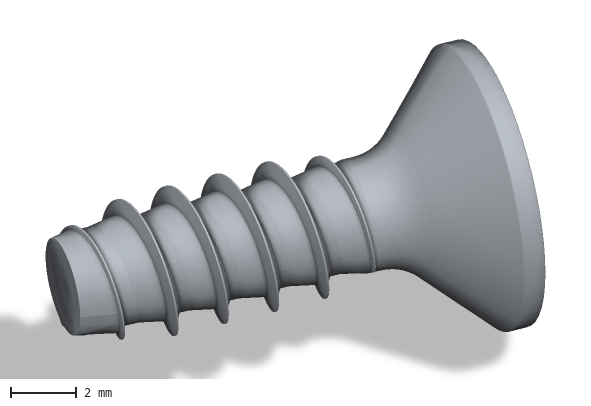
import cadquery as cq
import math


LENGTH = 14.0

HEAD_DIAMETER = 9.0
HEAD_RADIUS = HEAD_DIAMETER / 2
HEAD_TOP_FILLET = 0.07
HEAD_CONE_ANGLE = math.radians(45)
RIM_HEIGHT = 0.7
RIM_FILLET = 0.07

SHANK_RADIUS = 1.78
SHANK_END = 4.54
NECK_FILLET = 1.78

CORE_RADIUS = 1.6
CORE_START = 5.26
TIP_RADIUS = 1.53
TIP_SLOPE = 0.2
DIMPLE_RADIUS = 1.47
DIMPLE_DEPTH = 0.1

FIRST_CREST = 4.23
LAST_CREST = LENGTH
START_ANGLE = -90.0
TURNS = 6
PITCH = (LAST_CREST - FIRST_CREST) / TURNS

LEAD_IN_TURNS = 1.2
LEAD_IN_DROP = 0.4
RUN_OUT_TURNS = 1.5
RUN_OUT_DROP = 0.66
FULL_TURNS = TURNS - LEAD_IN_TURNS - RUN_OUT_TURNS

CREST_RADIUS = 2.25
CREST_HALF_WIDTH = 0.03
HEAD_SIDE_KNEE = (-0.11, 1.92)
HEAD_SIDE_FOOT = (-0.31, CORE_RADIUS)
TIP_SIDE_FOOT = (0.2, 1.72)
BLADE_BASE_RADIUS = 0.7

LAND_TOP_RADIUS = 1.78
LAND_BASE_RADIUS = 1.12
LAND_SLOPE = 0.18
LAND_LENGTH = 1.19


def make_shaft():
    """Head, shank and core, turned about the axis."""
    corner = RIM_HEIGHT + (HEAD_RADIUS - SHANK_RADIUS) / math.tan(HEAD_CONE_ANGLE)
    neck_reach = NECK_FILLET * math.tan(HEAD_CONE_ANGLE / 2)
    neck_end = corner + neck_reach
    neck_start = corner - neck_reach * math.cos(HEAD_CONE_ANGLE)
    neck_start_radius = SHANK_RADIUS + neck_reach * math.sin(HEAD_CONE_ANGLE)
    neck_middle = (
        SHANK_RADIUS + NECK_FILLET * (1 - math.cos(HEAD_CONE_ANGLE / 2)),
        neck_end - NECK_FILLET * math.sin(HEAD_CONE_ANGLE / 2),
    )
    outline = (
        cq.Workplane("XZ")
        .lineTo(HEAD_RADIUS, 0)
        .lineTo(HEAD_RADIUS, RIM_HEIGHT)
        .lineTo(neck_start_radius, neck_start)
        .threePointArc(neck_middle, (SHANK_RADIUS, neck_end))
        .lineTo(SHANK_RADIUS, SHANK_END)
        .lineTo(CORE_RADIUS, CORE_START)
        .lineTo(CORE_RADIUS, LENGTH)
        .lineTo(0, LENGTH)
        .close()
    )
    shaft = outline.revolve(360, (0, 0), (0, 1))
    rim_foot = cq.selectors.NearestToPointSelector((0, 0, RIM_HEIGHT))
    shaft = shaft.edges(rim_foot).fillet(RIM_FILLET)
    return shaft.faces("<Z").edges().fillet(HEAD_TOP_FILLET)


def turned(outline):
    """Solid of revolution about Z from (radius, height) corners."""
    return cq.Workplane("XZ").polyline(outline).close().revolve(360, (0, 0), (0, 1))


def threaded_zone():
    """Cylinder from the end of the shank to the tip, wide enough to hold the whole thread."""
    zone = cq.Workplane("XY", origin=(0, 0, SHANK_END))
    return zone.circle(2 * CREST_RADIUS).extrude(LENGTH - SHANK_END)


def helix_edge(start_radius, end_radius, start_height, start_turn, turns):
    """Helix of constant pitch whose radius changes evenly from start to end."""
    rise = PITCH * turns
    taper = math.atan2(end_radius - start_radius, rise)
    stretch = 1 / math.cos(taper)
    apex = math.degrees(taper) if taper else 360.0
    helix = cq.Wire.makeHelix(PITCH * stretch, rise * stretch, start_radius, angle=apex)
    helix = helix.rotate(cq.Vector(0, 0, 0), cq.Vector(0, 0, 1), START_ANGLE + 360 * start_turn)
    return helix.moved(cq.Location(cq.Vector(0, 0, start_height))).Edges()[0]


def helical_ridge(start_corners, end_corners, start_turn, turns):
    """Solid swept along the thread by a polygon that changes evenly from start to end.

    Corners are (distance along the axis from the crest, radius).
    The ridge is trimmed to the threaded zone.
    """
    base = FIRST_CREST + PITCH * start_turn
    edges = [
        helix_edge(start[1], end[1], base + start[0], start_turn, turns)
        for start, end in zip(start_corners, end_corners)
    ]
    neighbours = edges[1:] + edges[:1]
    faces = [cq.Face.makeRuledSurface(edge, neighbour) for edge, neighbour in zip(edges, neighbours)]
    for end_point in (cq.Edge.startPoint, cq.Edge.endPoint):
        corners = [end_point(edge) for edge in edges]
        faces.append(cq.Face.makeFromWires(cq.Wire.makePolygon(corners, close=True)))
    ridge = cq.Workplane(cq.Solid.makeSolid(cq.Shell.makeShell(faces)))
    return ridge.intersect(threaded_zone())


def blade_corners(drop):
    """Thread section sunk towards the axis by `drop`, with its base buried in the core."""
    section = [
        HEAD_SIDE_FOOT,
        HEAD_SIDE_KNEE,
        (-CREST_HALF_WIDTH, CREST_RADIUS),
        (CREST_HALF_WIDTH, CREST_RADIUS),
        TIP_SIDE_FOOT,
    ]
    sunk = [(offset, radius - drop) for offset, radius in section]
    head_side_base = (HEAD_SIDE_FOOT[0], BLADE_BASE_RADIUS)
    tip_side_base = (TIP_SIDE_FOOT[0], BLADE_BASE_RADIUS)
    return [head_side_base] + sunk + [tip_side_base]


def make_blades():
    """Thread that rises from the shank, runs at full height and sinks into the tip."""
    full = blade_corners(0)
    run_out_start = LEAD_IN_TURNS + FULL_TURNS
    return [
        helical_ridge(blade_corners(LEAD_IN_DROP), full, 0, LEAD_IN_TURNS),
        helical_ridge(full, full, LEAD_IN_TURNS, FULL_TURNS),
        helical_ridge(full, blade_corners(RUN_OUT_DROP), run_out_start, RUN_OUT_TURNS),
    ]


def make_land():
    """Sloping land on the tip side of the thread."""
    section = [
        (0, LAND_BASE_RADIUS),
        (0, LAND_TOP_RADIUS),
        (LAND_LENGTH, LAND_TOP_RADIUS - LAND_SLOPE * LAND_LENGTH),
        (LAND_LENGTH, LAND_BASE_RADIUS),
    ]
    return helical_ridge(section, section, 0, TURNS)


def make_tip_trim():
    """Ring to be removed around the core so that it narrows towards the tip."""
    wide_radius = TIP_RADIUS + TIP_SLOPE * (LENGTH - SHANK_END)
    cone = turned([(0, SHANK_END), (wide_radius, SHANK_END), (TIP_RADIUS, LENGTH), (0, LENGTH)])
    return threaded_zone().cut(cone)


def make_dimple():
    """Shallow cone to be removed from the tip."""
    return turned([(0, LENGTH - DIMPLE_DEPTH), (DIMPLE_RADIUS, LENGTH), (0, LENGTH)])


screw = make_shaft().union(make_land()).cut(make_tip_trim())
for blade in make_blades():
    screw = screw.union(blade)
screw = screw.cut(make_dimple())
result = screw.solids().rotate((0, 0, 0), (1, 0, 0), 90)